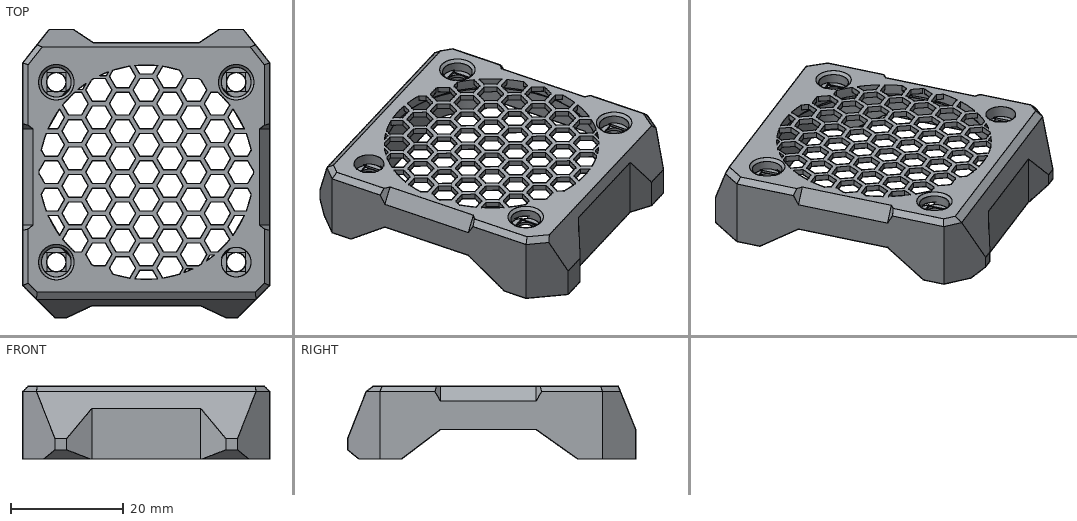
import cadquery as cq
import math


width = 44.0
half_width = width / 2
height = 13.0
rear_reach = 25.4
front_reach = 25.95
edge_bevel = 1.0

rear_corner_start = 19.45
rear_foot_outer = 17.3
rear_foot_inner = 12.95
rear_notch_half = 9.4
rear_notch_face = 23.05
front_corner_start = 20.2
front_foot_outer = half_width - (front_reach - front_corner_start)
front_foot_inner = 14.15
front_notch_half = 9.7
front_notch_face = 23.85

rear_slope_start = 5.25
rear_top_edge = 22.3
front_top_edge = 21.35
front_shoulder = 22.65
front_slope_start = 3.65
front_toe_height = 1.65
front_toe = 23.95
arch_height = 5.25
arch_rear_foot = 15.05
arch_rear_top = 7.65
arch_front_top = 9.4
arch_front_foot = 16.35

recess_depth = 1.85
recess_height = 2.65
recess_end_angle = 45

fan_pocket = 40.45
fan_corner_radius = 4.3
corner_thickness = 3.0
duct_step_thickness = 1.85
duct_diameter = 38.2

grille_thickness = 1.05
hex_pitch = 4.9
hex_flats = 4.0
rim_rib = 0.55
rim_hex_flats = 2 * (hex_pitch - rim_rib) - hex_flats
full_cell_reach = 20.55
rim_cell_reach = 21.55
column_reach = 4
row_reach = 5

screw_offset = 16.0
screw_diameter = 3.4
counterbore_diameter = 5.3
counterbore_depth = 2.05
countersink_diameter = 6.3
bridge_step = 0.2


def make_outline():
    """Plan outline of the body, feet included."""
    right_side = [
        (front_notch_half, -front_notch_face),
        (front_foot_inner, -front_reach),
        (front_foot_outer, -front_reach),
        (half_width, -front_corner_start),
        (half_width, rear_corner_start),
        (rear_foot_outer, rear_reach),
        (rear_foot_inner, rear_reach),
        (rear_notch_half, rear_notch_face),
    ]
    left_side = [(-x, y) for x, y in reversed(right_side)]
    return right_side + left_side


def make_side_profile():
    """Solid across X that carries the sloped ends and the arch."""
    points = [
        (rear_reach, 0),
        (rear_reach, rear_slope_start),
        (rear_top_edge, height),
        (-front_top_edge, height),
        (-front_shoulder, height - edge_bevel),
        (-front_reach, front_slope_start),
        (-front_reach, front_toe_height),
        (-front_toe, 0),
        (-arch_front_foot, 0),
        (-arch_front_top, arch_height),
        (arch_rear_top, arch_height),
        (arch_rear_foot, 0),
    ]
    return cq.Workplane("YZ").polyline(points).close().extrude(half_width, both=True)


def make_body():
    block = cq.Workplane("XY").polyline(make_outline()).close().extrude(height)
    top_edges = block.faces(">Z").edges()
    bevelled = top_edges.filter(lambda edge: abs(edge.Center().x) > rear_foot_outer)
    block = block.newObject(bevelled.vals()).chamfer(edge_bevel)
    return block.intersect(make_side_profile())


def make_side_recess(side):
    """Cutter for one side: a sloped floor whose ends flare outward."""
    length = arch_rear_top + arch_front_top
    middle = (arch_rear_top - arch_front_top) / 2
    floor_width = math.hypot(recess_depth, recess_height)
    floor = cq.Plane(
        origin=(side * (half_width - recess_depth / 2), middle, height - recess_height / 2),
        xDir=(0, 1, 0),
        normal=(side * recess_height, 0, recess_depth),
    )
    return cq.Workplane(floor).rect(length, floor_width).extrude(recess_depth, taper=-recess_end_angle)


def cylinder(diameter, bottom, top):
    """Upright cylinder on the Z axis between two heights."""
    return cq.Workplane("XY", origin=(0, 0, bottom)).circle(diameter / 2).extrude(top - bottom)


def box(x_size, y_size, bottom, top):
    """Upright box centred on the Z axis between two heights."""
    return cq.Workplane("XY", origin=(0, 0, bottom)).rect(x_size, y_size).extrude(top - bottom)


def make_fan_pocket():
    pocket = box(fan_pocket, fan_pocket, 0, height - corner_thickness)
    pocket = pocket.edges("|Z").fillet(fan_corner_radius)
    step = cylinder(fan_pocket, 0, height - duct_step_thickness)
    duct = cylinder(duct_diameter, 0, height - grille_thickness)
    return pocket.union(step).union(duct)


def honeycomb_centers():
    """Cell centres of the honeycomb; odd columns sit half a pitch higher."""
    column_pitch = hex_pitch * math.cos(math.pi / 6)
    centers = []
    for column in range(-column_reach, column_reach + 1):
        for row in range(-row_reach, row_reach + 1):
            centers.append((column * column_pitch, (row + column % 2 / 2) * hex_pitch))
    return centers


def make_hexes(centers, flats):
    corner_diameter = flats / math.cos(math.pi / 6)
    grille_bottom = cq.Workplane("XY", origin=(0, 0, height - grille_thickness))
    return grille_bottom.pushPoints(centers).polygon(6, corner_diameter).extrude(grille_thickness)


def make_grille_openings():
    full_cells = []
    rim_cells = []
    for x, y in honeycomb_centers():
        distance = math.hypot(x, y)
        if distance < full_cell_reach:
            full_cells.append((x, y))
        elif distance < rim_cell_reach and x * y < 0:
            rim_cells.append((x, y))
    openings = make_hexes(full_cells, hex_flats).union(make_hexes(rim_cells, rim_hex_flats))
    return openings.intersect(cylinder(duct_diameter, 0, height))


def make_screw_hole(side_x, side_y):
    """Cutter for one corner: hole, square step, slot step and counterbore, from the bottom up."""
    bore_floor = height - counterbore_depth
    slot_floor = bore_floor - bridge_step
    square_floor = slot_floor - bridge_step

    slot_size = (screw_diameter, counterbore_diameter)
    if side_x == side_y:
        slot_size = (counterbore_diameter, screw_diameter)
    slot = box(*slot_size, slot_floor, bore_floor)
    slot = slot.intersect(cylinder(counterbore_diameter, slot_floor, bore_floor))

    cutter = cylinder(screw_diameter, 0, square_floor)
    cutter = cutter.union(box(screw_diameter, screw_diameter, square_floor, slot_floor))
    cutter = cutter.union(slot)
    cutter = cutter.union(cylinder(counterbore_diameter, bore_floor, height))

    if (side_x, side_y) != (1, -1):
        rim = (countersink_diameter - counterbore_diameter) / 2
        countersink = cq.Solid.makeCone(
            counterbore_diameter / 2,
            countersink_diameter / 2,
            rim,
            pnt=cq.Vector(0, 0, height - rim),
        )
        cutter = cutter.union(cq.Workplane(countersink))
    return cutter.translate((side_x * screw_offset, side_y * screw_offset, 0))


result = make_body()
for side in (-1, 1):
    result = result.cut(make_side_recess(side))
result = result.cut(make_fan_pocket())
result = result.cut(make_grille_openings())
for side_x in (-1, 1):
    for side_y in (-1, 1):
        result = result.cut(make_screw_hole(side_x, side_y))